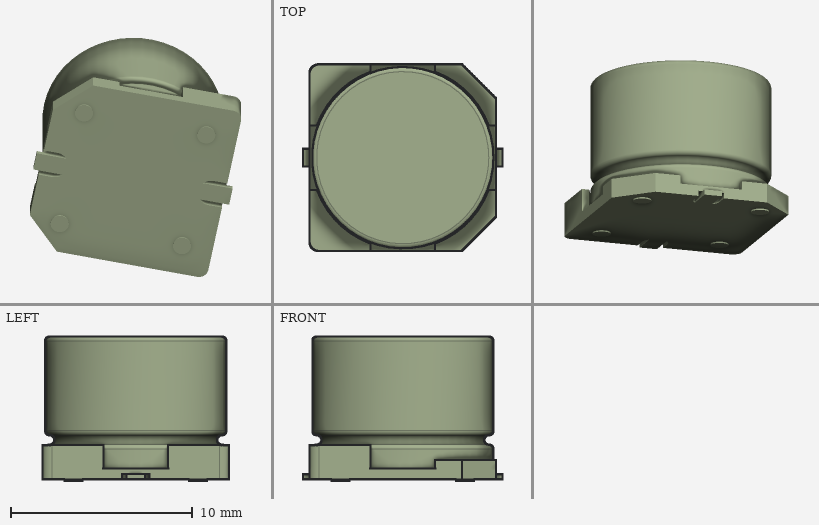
import cadquery as cq


base_width = 10.3
base_corner_radius = 0.53
base_chamfer = 1.89
tall_corner_height = 1.89
low_corner_height = 1.08
floor_height = 0.6
notch_width = 3.56
seat_radius = 5.05

can_radius = 4.99
can_top = 7.88
edge_radius = 0.25
groove_height = 2.18

total_height = 7.95
foot_height = total_height - can_top
foot_diameter = 1.0
foot_offset = 3.43

lead_span = 11.0
lead_width = 1.0
lead_thickness = 0.3
recess_width = 1.5
recess_depth = recess_width


def make_base():
    """Square base with two corner heights, a notch in each side and a round seat."""
    half_width = base_width / 2
    base = (
        cq.Workplane("XY")
        .rect(base_width, base_width)
        .extrude(tall_corner_height)
        .edges("|Z and <X")
        .fillet(base_corner_radius)
        .edges("|Z and >X")
        .chamfer(base_chamfer)
    )

    above_low_corners = (
        cq.Workplane("XY", origin=(half_width / 2, 0, low_corner_height))
        .rect(half_width, base_width)
        .extrude(tall_corner_height)
    )
    above_floor = cq.Workplane("XY", origin=(0, 0, floor_height))
    notch_along_x = above_floor.rect(base_width, notch_width).extrude(tall_corner_height)
    notch_along_y = above_floor.rect(notch_width, base_width).extrude(tall_corner_height)
    seat = above_floor.circle(seat_radius).extrude(tall_corner_height)
    return base.cut(above_low_corners).cut(notch_along_x).cut(notch_along_y).cut(seat)


def make_can():
    """Revolved can with a rounded top rim and a crimped groove with rounded lips."""
    neck_radius = can_radius - edge_radius
    groove_bottom_radius = neck_radius - edge_radius
    lower_lip = groove_height - 2 * edge_radius
    upper_lip = groove_height + 2 * edge_radius
    profile = (
        cq.Workplane("XZ")
        .moveTo(0, floor_height)
        .lineTo(can_radius, floor_height)
        .lineTo(can_radius, lower_lip)
        .radiusArc((neck_radius, groove_height - edge_radius), -edge_radius)
        .threePointArc(
            (groove_bottom_radius, groove_height),
            (neck_radius, groove_height + edge_radius),
        )
        .radiusArc((can_radius, upper_lip), -edge_radius)
        .lineTo(can_radius, can_top - edge_radius)
        .radiusArc((neck_radius, can_top), -edge_radius)
        .lineTo(0, can_top)
        .close()
    )
    return profile.revolve(360, (0, 0, 0), (0, 1, 0))


def make_feet():
    """Four round standoff feet on the underside of the base."""
    return (
        cq.Workplane("XY")
        .rect(2 * foot_offset, 2 * foot_offset, forConstruction=True)
        .vertices()
        .circle(foot_diameter / 2)
        .extrude(-foot_height)
    )


def make_recesses():
    """Round-ended slots cut inward from the -X and +X sides of the base."""
    slot_length = 2 * recess_depth
    return (
        cq.Workplane("XY")
        .pushPoints([(-base_width / 2, 0), (base_width / 2, 0)])
        .slot2D(slot_length, recess_width)
        .extrude(lead_thickness)
    )


def make_leads():
    """Flat leads, flush with the underside, as one strip through the base."""
    return cq.Workplane("XY").rect(lead_span, lead_width).extrude(lead_thickness)


result = (
    make_base()
    .cut(make_recesses())
    .union(make_leads())
    .union(make_feet())
    .union(make_can())
)